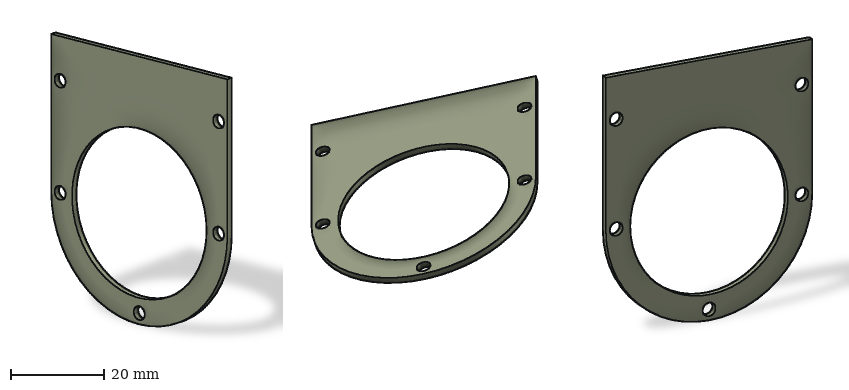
import cadquery as cq

height = 60.2
width = 50.0
thickness = 1.5
bore_diameter = 38.1
screw_hole_diameter = 3.1
screw_offset = 22.45
upper_screw_height = 25.25

end_radius = width / 2
top_edge = height - end_radius


def plate_blank():
    """Plate with a square top and a semicircular bottom and its back face at Y = 0."""
    return (
        cq.Workplane("XZ")
        .moveTo(-end_radius, 0)
        .lineTo(-end_radius, top_edge)
        .lineTo(end_radius, top_edge)
        .lineTo(end_radius, 0)
        .threePointArc((0, -end_radius), (-end_radius, 0))
        .close()
        .extrude(thickness)
    )


def through_holes(diameter, centres):
    """Cylinders that cut through the whole thickness at the given X, Z places."""
    return (
        cq.Workplane("XZ")
        .pushPoints(centres)
        .circle(diameter / 2)
        .extrude(thickness)
    )


screw_centres = [(0, -screw_offset)]
for side in (-1, 1):
    for level in (0, upper_screw_height):
        screw_centres.append((side * screw_offset, level))

bore = through_holes(bore_diameter, [(0, 0)])
screw_holes = through_holes(screw_hole_diameter, screw_centres)

result = plate_blank().cut(bore).cut(screw_holes)